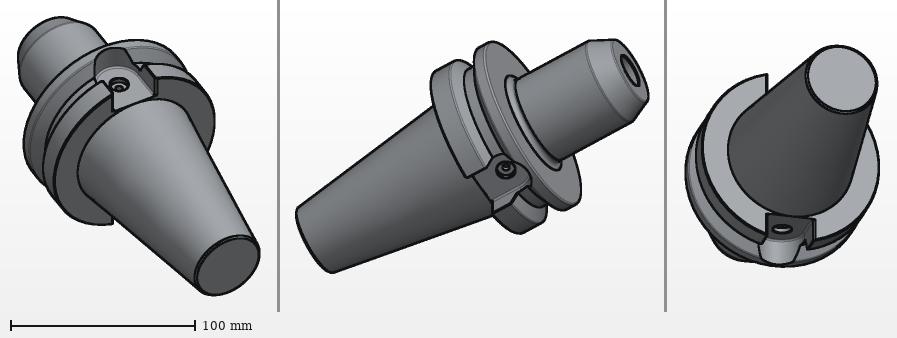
import cadquery as cq
import math


gauge_diameter = 69.85
taper_rate = 7 / 24
shank_end_x = 101.8
shank_end_chamfer = 1.0

nose_x = -100.0
nose_face_diameter = 38.0
nose_diameter = 50.0
nose_cone_length = 12.8
nose_face_fillet = 1.0
nose_shoulder_fillet = 2.0

undercut_diameter = 49.8
undercut_depth = (nose_diameter - undercut_diameter) / 2
undercut_reach = 4.0
undercut_fillet = 3.0

flange_diameter = 100.0
flange_front_x = -38.0
flange_rear_x = -3.0
flange_front_fillet = 1.0
flange_rear_chamfer = 0.5
groove_floor_diameter = 85.0
groove_center_x = -23.3
groove_floor_width = 6.6
groove_half_angle = 30.0
groove_edge_radius = 1.0

slot_width = 25.7
slot_floor_height = 35.4
slot_center_x = -21.7
slot_floor_fillet = 1.0
slot_mouth_chamfer = 1.2
slot_rim_chamfer = 0.4

screw_x = -20.5
screw_seat_diameter = 10.0
screw_seat_chamfer = 0.3
screw_seat_depth = 3.0
screw_bore_diameter = 4.0
screw_bore_depth = 7.0
drill_tip_angle = 118.0

bore_diameter = 18.0
bore_depth = 50.0
bore_chamfer = 0.6

pick_margin = 0.01

axis_start = (0, 0, 0)
axis_end = (1, 0, 0)


def taper_radius(x):
    return (gauge_diameter - taper_rate * x) / 2


def ring_edges(radius, x):
    """Select the circular edges up to this radius that lie around the axis at this x."""
    half_size = radius + pick_margin
    return cq.selectors.BoxSelector(
        (x - pick_margin, -half_size, -half_size),
        (x + pick_margin, half_size, half_size),
        boundingbox=True,
    )


def make_nose():
    nose_radius = nose_diameter / 2
    face_radius = nose_face_diameter / 2
    undercut_radius = undercut_diameter / 2
    cone_end_x = nose_x + nose_cone_length
    undercut_start_x = flange_front_x - undercut_reach
    undercut_face_x = flange_front_x + undercut_depth
    arc_offset = undercut_fillet * (1 - math.sqrt(0.5))
    profile = (
        cq.Workplane("XY")
        .moveTo(nose_x, 0)
        .lineTo(nose_x, face_radius)
        .lineTo(cone_end_x, nose_radius)
        .lineTo(undercut_start_x, nose_radius)
        .lineTo(undercut_start_x, undercut_radius)
        .lineTo(undercut_face_x - undercut_fillet, undercut_radius)
        .threePointArc(
            (undercut_face_x - arc_offset, undercut_radius + arc_offset),
            (undercut_face_x, undercut_radius + undercut_fillet),
        )
        .lineTo(undercut_face_x, 0)
        .close()
    )
    nose = profile.revolve(360, axis_start, axis_end)
    nose = nose.edges(ring_edges(face_radius, nose_x)).fillet(nose_face_fillet)
    return nose.edges(ring_edges(nose_radius, cone_end_x)).fillet(nose_shoulder_fillet)


def make_flange():
    rim_radius = flange_diameter / 2
    floor_radius = groove_floor_diameter / 2
    recess_radius = nose_diameter / 2 + undercut_reach
    recess_x = flange_front_x + undercut_depth
    flank_length = (rim_radius - floor_radius) * math.tan(math.radians(groove_half_angle))
    floor_front_x = groove_center_x - groove_floor_width / 2
    floor_rear_x = groove_center_x + groove_floor_width / 2
    rim_front_x = floor_front_x - flank_length
    rim_rear_x = floor_rear_x + flank_length
    profile = (
        cq.Workplane("XY")
        .moveTo(recess_x, 0)
        .lineTo(recess_x, recess_radius)
        .lineTo(flange_front_x, recess_radius)
        .lineTo(flange_front_x, rim_radius)
        .lineTo(rim_front_x, rim_radius)
        .lineTo(floor_front_x, floor_radius)
        .lineTo(floor_rear_x, floor_radius)
        .lineTo(rim_rear_x, rim_radius)
        .lineTo(flange_rear_x, rim_radius)
        .lineTo(flange_rear_x, 0)
        .close()
    )
    flange = profile.revolve(360, axis_start, axis_end)
    outer_ring = cq.selectors.RadiusNthSelector(-1)
    flange = flange.faces("<X").edges(outer_ring).fillet(flange_front_fillet)
    flange = flange.edges(ring_edges(rim_radius, flange_rear_x)).chamfer(flange_rear_chamfer)
    for x in (rim_front_x, rim_rear_x):
        flange = flange.edges(ring_edges(rim_radius, x)).fillet(groove_edge_radius)
    return flange


def make_shank():
    profile = (
        cq.Workplane("XY")
        .moveTo(flange_rear_x, 0)
        .lineTo(flange_rear_x, taper_radius(flange_rear_x))
        .lineTo(shank_end_x, taper_radius(shank_end_x))
        .lineTo(shank_end_x, 0)
        .close()
    )
    return profile.revolve(360, axis_start, axis_end).faces(">X").edges().chamfer(shank_end_chamfer)


def make_slot_cutter():
    """Drive slot on the +Z side: round front end, mouth flared to chamfer the wall corners."""
    half_width = slot_width / 2
    flare_start_x = flange_rear_x - slot_mouth_chamfer
    flare = 2 * slot_mouth_chamfer
    return (
        cq.Workplane("XY", origin=(0, 0, slot_floor_height))
        .moveTo(flare_start_x + flare, half_width + flare)
        .lineTo(flare_start_x, half_width)
        .lineTo(slot_center_x, half_width)
        .threePointArc((slot_center_x - half_width, 0), (slot_center_x, -half_width))
        .lineTo(flare_start_x, -half_width)
        .lineTo(flare_start_x + flare, -half_width - flare)
        .close()
        .extrude(flange_diameter / 2)
        .faces("<Z")
        .edges("not >X")
        .fillet(slot_floor_fillet)
    )


def make_screw_hole_cutter():
    """Chamfered seat and drilled bore going down from the slot floor."""
    seat_radius = screw_seat_diameter / 2
    bore_radius = screw_bore_diameter / 2
    tip_length = bore_radius / math.tan(math.radians(drill_tip_angle / 2))
    return (
        cq.Workplane("XZ", origin=(screw_x, 0, slot_floor_height))
        .moveTo(0, 0)
        .lineTo(seat_radius + screw_seat_chamfer, 0)
        .lineTo(seat_radius, -screw_seat_chamfer)
        .lineTo(seat_radius, -screw_seat_depth)
        .lineTo(bore_radius, -screw_seat_depth)
        .lineTo(bore_radius, -screw_bore_depth)
        .lineTo(0, -screw_bore_depth - tip_length)
        .close()
        .revolve(360, (0, 0, 0), (0, 1, 0))
    )


def chamfer_slot_rims(body):
    """Break the straight edges where the slot walls meet the rear rim of the flange."""
    half_width = slot_width / 2
    rim_height = math.sqrt((flange_diameter / 2) ** 2 - half_width**2)
    groove_rear_x = groove_center_x + groove_floor_width / 2
    for y in (half_width, -half_width):
        for z in (rim_height, -rim_height):
            rim_box = cq.selectors.BoxSelector(
                (groove_rear_x, y - pick_margin, z - pick_margin),
                (flange_rear_x, y + pick_margin, z + pick_margin),
                boundingbox=True,
            )
            body = body.edges(rim_box).chamfer(slot_rim_chamfer)
    return body


def make_bore_cutter():
    bore_radius = bore_diameter / 2
    return (
        cq.Workplane("XY")
        .moveTo(nose_x, 0)
        .lineTo(nose_x, bore_radius + bore_chamfer)
        .lineTo(nose_x + bore_chamfer, bore_radius)
        .lineTo(nose_x + bore_depth, bore_radius)
        .lineTo(nose_x + bore_depth, 0)
        .close()
        .revolve(360, axis_start, axis_end)
    )


holder = make_nose().union(make_flange()).union(make_shank())
drive_cutter = make_slot_cutter().union(make_screw_hole_cutter())
for turn in (0, 180):
    holder = holder.cut(drive_cutter.rotate(axis_start, axis_end, turn))
holder = chamfer_slot_rims(holder)
result = holder.cut(make_bore_cutter())